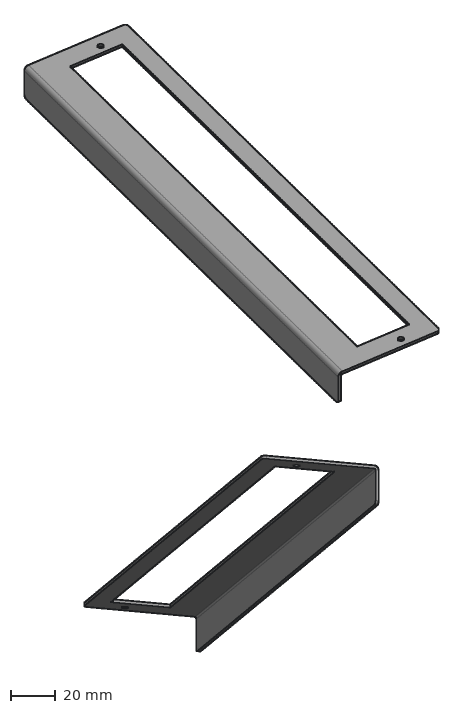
import cadquery as cq

length = 255.8
depth = 54.7
height = 18.0
thickness = 1.5
outer_bend_radius = 2.3
inner_bend_radius = outer_bend_radius - thickness
corner_radius = 1.8

window_length = 233.8
window_width = 28.0
window_back_margin = 9.5

hole_diameter = 2.8
hole_spacing = 244.5
hole_offset_x = 1.0
hole_back_margin = 18.2


def bent_sheet():
    """L section with a rounded bend, centred on X; front face at Y = 0, top at Z = 0."""
    section = (
        cq.Workplane("YZ")
        .moveTo(depth, 0)
        .lineTo(outer_bend_radius, 0)
        .radiusArc((0, -outer_bend_radius), -outer_bend_radius)
        .lineTo(0, -height)
        .lineTo(thickness, -height)
        .lineTo(thickness, -outer_bend_radius)
        .radiusArc((outer_bend_radius, -thickness), inner_bend_radius)
        .lineTo(depth, -thickness)
        .close()
    )
    return section.extrude(length / 2, both=True)


def window():
    centre_y = depth - window_back_margin - window_width / 2
    return (
        cq.Workplane("XY")
        .center(0, centre_y)
        .rect(window_length, window_width)
        .extrude(-thickness)
    )


def screw_holes():
    return (
        cq.Workplane("XY")
        .center(hole_offset_x, depth - hole_back_margin)
        .pushPoints([(-hole_spacing / 2, 0), (hole_spacing / 2, 0)])
        .circle(hole_diameter / 2)
        .extrude(-thickness)
    )


bracket = bent_sheet()

bracket = bracket.edges("|Y and <Z").fillet(corner_radius)
bracket = bracket.edges("|Z and >Y").fillet(corner_radius)

result = bracket.cut(window()).cut(screw_holes())